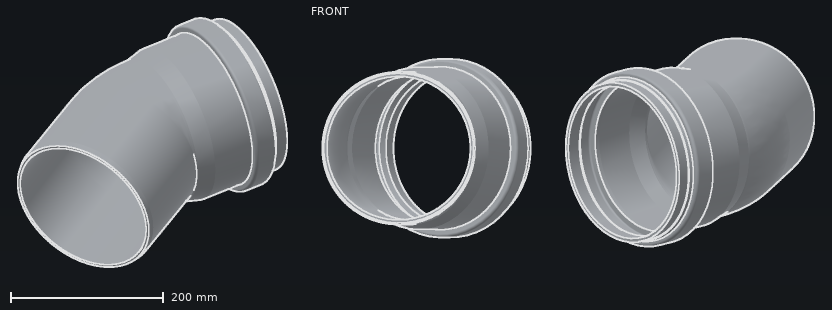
import cadquery as cq
import math


pipe_outer_radius = 200.3 / 2
pipe_inner_radius = 187.9 / 2
spigot_length = 128.3
spigot_chamfer_length = 8.0
spigot_chamfer_depth = 2.1
bend_angle = 30.0
bend_radius = 95.0

barrel_outer_radius = 212.7 / 2
barrel_inner_radius = 200.3 / 2
barrel_end_outer_radius = 213.7 / 2
barrel_end_inner_radius = 201.5 / 2
ring_outer_radius = 234.2 / 2
groove_radius = 223.0 / 2
outer_shoulder_radius = 109.6
inner_shoulder_radius = 107.0
outer_step_radius = 107.2
inner_step_radius = 102.5
mouth_outer_radius = 212.7 / 2
mouth_inner_radius = 202.5 / 2

neck_length = 3.0
flare_end = 26.2
barrel_end = 81.0
ring_start = 82.8
ring_end = 114.0
outer_step = 119.3
mouth_start = 119.8
socket_length = 136.7

groove_start = 88.0
groove_end = 109.2
inner_step = 115.0
mouth_bore_start = 116.6

ring_fillet = 4.2
groove_fillet = 2.5

match_tolerance = 0.1


def turned(points, fillet_radius=0.0, fillet_corners=()):
    """Revolve (radius, station) points about the Y axis, rounding the rims at the listed corners."""
    axis_points = [(0, points[0][1])] + points + [(0, points[-1][1])]
    body = cq.Workplane("XY").polyline(axis_points).close().revolve(360, (0, 0, 0), (0, 1, 0))
    if not fillet_corners:
        return body
    rims = [
        edge
        for edge in body.edges("%CIRCLE").vals()
        for radius, station in fillet_corners
        if abs(edge.radius() - radius) < match_tolerance
        and abs(edge.Center().y - station) < match_tolerance
    ]
    return body.newObject(rims).fillet(fillet_radius)


def placed_on_bend_end(body):
    """Move a body from the start of the bend to its end and turn it along the socket axis."""
    return body.rotate((bend_radius, 0, 0), (bend_radius, 0, 1), -bend_angle)


def bend(section_radius):
    """Sweep a circle through the bend; where it would cross the pivot axis it is cut off there."""
    if section_radius <= bend_radius:
        section = cq.Workplane("XZ").circle(section_radius)
    else:
        half_chord = math.sqrt(section_radius**2 - bend_radius**2)
        section = (
            cq.Workplane("XZ")
            .moveTo(bend_radius, half_chord)
            .threePointArc((-section_radius, 0), (bend_radius, -half_chord))
            .close()
        )
    return section.revolve(bend_angle, (bend_radius, 1, 0), (bend_radius, 0, 0))


def outer_body():
    """Solid pipe, bend and socket, without the bore."""
    spigot = turned([
        (pipe_outer_radius - spigot_chamfer_depth, -spigot_length),
        (pipe_outer_radius, spigot_chamfer_length - spigot_length),
        (pipe_outer_radius, 0),
    ])
    socket = turned(
        [
            (pipe_outer_radius, 0),
            (pipe_outer_radius, neck_length),
            (barrel_outer_radius, flare_end),
            (barrel_outer_radius, barrel_end),
            (barrel_end_outer_radius, ring_start),
            (ring_outer_radius, ring_start),
            (ring_outer_radius, ring_end),
            (outer_shoulder_radius, ring_end),
            (outer_step_radius, outer_step),
            (mouth_outer_radius, mouth_start),
            (mouth_outer_radius, socket_length),
        ],
        ring_fillet,
        [(ring_outer_radius, ring_start), (ring_outer_radius, ring_end)],
    )
    return spigot.union(bend(pipe_outer_radius)).union(placed_on_bend_end(socket))


def inner_bore():
    """The space inside the pipe, bend and socket."""
    spigot = turned([(pipe_inner_radius, -spigot_length), (pipe_inner_radius, 0)])
    socket = turned(
        [
            (pipe_inner_radius, 0),
            (pipe_inner_radius, neck_length),
            (barrel_inner_radius, flare_end),
            (barrel_inner_radius, barrel_end),
            (barrel_end_inner_radius, groove_start),
            (groove_radius, groove_start),
            (groove_radius, groove_end),
            (inner_shoulder_radius, groove_end),
            (inner_step_radius, inner_step),
            (mouth_inner_radius, mouth_bore_start),
            (mouth_inner_radius, socket_length),
        ],
        groove_fillet,
        [(groove_radius, groove_start), (groove_radius, groove_end)],
    )
    return spigot.union(bend(pipe_inner_radius)).union(placed_on_bend_end(socket))


result = outer_body().cut(inner_bore())